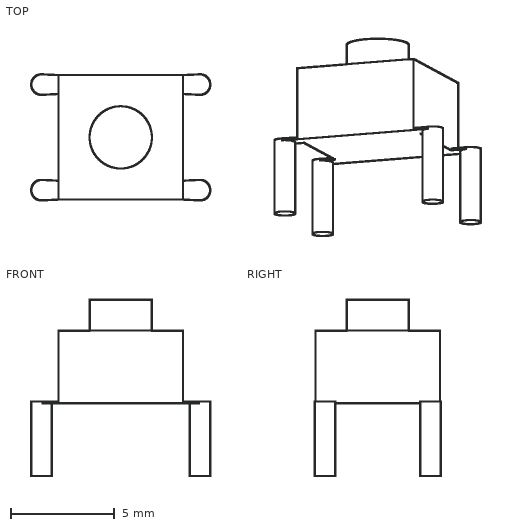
import cadquery as cq


body_side = 6.0
body_height = 3.5
button_diameter = 3.0
button_height = 1.5

grid_pitch = 2.54
pin_spacing_x = 3 * grid_pitch
pin_spacing_y = 2 * grid_pitch
pin_diameter = 1.0
pin_depth = 3.5

tab_thickness = 0.1
tab_outer_x = pin_spacing_x / 2
tab_inner_x = body_side / 2
tab_center_y = pin_spacing_y / 2
tab_outer_half_width = pin_diameter / 2
tab_inner_half_width = body_side / 2 - tab_center_y


def make_body():
    body = cq.Workplane("XY").box(body_side, body_side, body_height, centered=(True, True, False))
    button = (
        cq.Workplane("XY")
        .workplane(offset=body_height)
        .circle(button_diameter / 2)
        .extrude(button_height)
    )
    return body.union(button)


def make_terminal():
    """Pin and tab at the +X, +Y corner; the pin ends flush with the tab top."""
    pin = (
        cq.Workplane("XY")
        .workplane(offset=-pin_depth)
        .center(tab_outer_x, tab_center_y)
        .circle(pin_diameter / 2)
        .extrude(pin_depth + tab_thickness)
    )
    tab = (
        cq.Workplane("XY")
        .polyline([
            (tab_inner_x, tab_center_y - tab_inner_half_width),
            (tab_outer_x, tab_center_y - tab_outer_half_width),
            (tab_outer_x, tab_center_y + tab_outer_half_width),
            (tab_inner_x, tab_center_y + tab_inner_half_width),
        ])
        .close()
        .extrude(tab_thickness)
    )
    return pin.union(tab)


right_back = make_terminal()
left_back = right_back.mirror("YZ")

result = make_body()
for terminal in (right_back, left_back):
    result = result.union(terminal)
    result = result.union(terminal.mirror("XZ"))
result = result.clean()